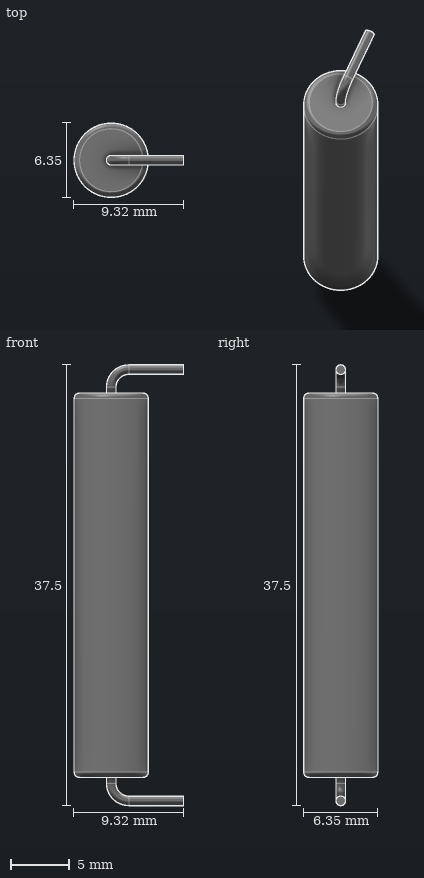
import cadquery as cq

overall_height = 37.52
body_diameter = 6.35
body_length = 32.7
body_edge_radius = 0.5

lead_diameter = 0.83
bend_radius = 1.5
lead_reach = 6.15

lead_height = (overall_height - lead_diameter) / 2
bend_start = lead_height - bend_radius


def make_body():
    """Upright cylinder centred on the origin, with both rims rounded."""
    body = cq.Workplane("XY").cylinder(body_length, body_diameter / 2)
    return body.faces("|Z").edges().fillet(body_edge_radius)


def make_upper_lead():
    """Wire running from the body centre up the axis, then bent over towards +X."""
    straight = cq.Workplane("XY").circle(lead_diameter / 2).extrude(bend_start)
    bend = (
        cq.Workplane("XY", origin=(0, 0, bend_start))
        .circle(lead_diameter / 2)
        .revolve(90, (bend_radius, 0), (bend_radius, 1))
    )
    tip = (
        cq.Workplane("YZ", origin=(bend_radius, 0, lead_height))
        .circle(lead_diameter / 2)
        .extrude(lead_reach - bend_radius)
    )
    return straight.union(bend).union(tip)


upper_lead = make_upper_lead()
lower_lead = upper_lead.mirror("XY")
result = make_body().union(upper_lead).union(lower_lead)